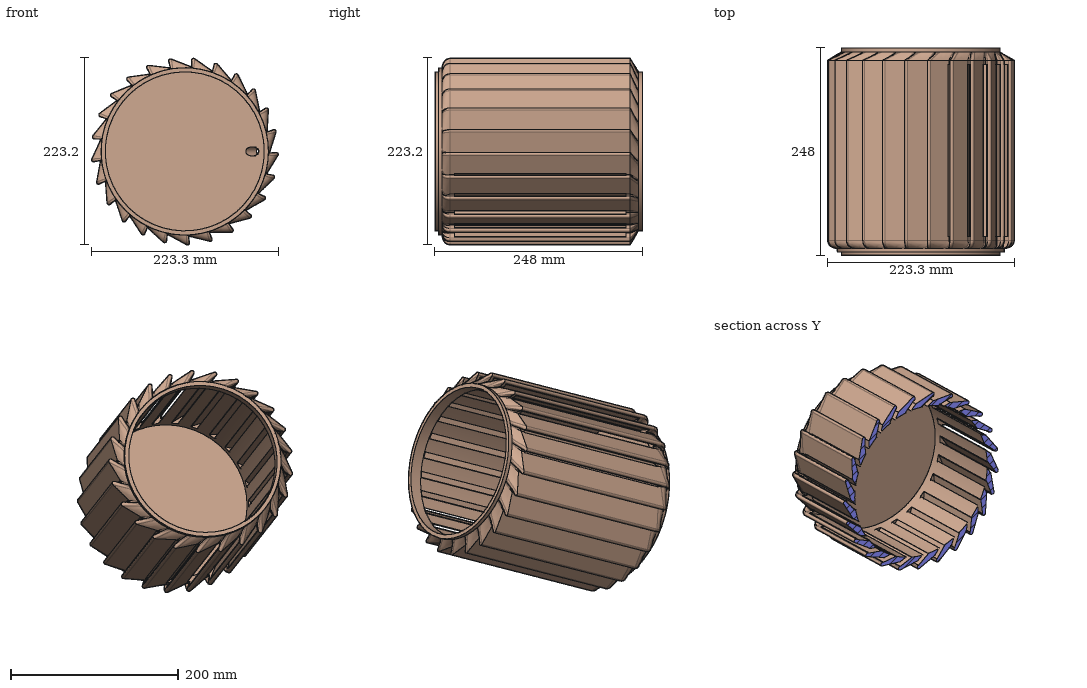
import cadquery as cq
import math

length = 248.0
lid_disc_length = 4.0
ring_end = 8.0
spigot_length = 5.0
taper_length = 10.0
teeth_start = ring_end + taper_length
spigot_start = length - spigot_length
teeth_end = spigot_start - taper_length

disc_diameter = 190.0
ring_diameter = 200.0
bore_diameter = 190.0
mouth_diameter = 180.0
lid_thickness = 13.0

tooth_count = 25
pitch = 360.0 / tooth_count
first_tooth_angle = -0.6
tip_centre_radius = 109.4
tip_round = 2.5
root_radius = 101.2
root_round_depth = 0.5
steep_foot_angle = -2.4
valley_angle = -0.8

front_end_angles = (4.0 - pitch, -2.0, -0.5, 1.0)
back_end_angles = (-6.0 - pitch, -10.0, -8.4, -6.8)

front_taper_steps = ((0.6, 0.2, 0.0),)
back_taper_steps = ((0.3, 0.3, 0.25), (0.6, 0.6, 0.5))

slot_width = 5.0
slot_end_gap = 5.0
slot_tilt = 48.0
slot_overcut = 0.5
slot_inner_reach = 15.0
slot_outer_reach = 3.7

hole_diameter = 11.0
hole_offset = 80.5
hole_slant = 45.0
hole_reach = 2 * lid_thickness


def polar(radius, angle):
    a = math.radians(angle)
    return (radius * math.cos(a), radius * math.sin(a))


def to_polar(point):
    return (math.hypot(*point), math.degrees(math.atan2(point[1], point[0])))


def section_plane(y):
    return cq.Workplane("XZ", origin=(0, y, 0))


def disc(diameter, y_start, y_end):
    return section_plane(y_start).circle(diameter / 2).extrude(y_start - y_end)


def middle(a, b):
    """Polar midpoint of the straight line between two polar points."""
    (ax, ay), (bx, by) = polar(*a), polar(*b)
    return to_polar(((ax + bx) / 2, (ay + by) / 2))


def tip_tangent(foot, tip, side):
    """Polar point where the line from a tooth foot touches the round tip."""
    (foot_x, foot_y), (tip_x, tip_y) = polar(*foot), polar(*tip)
    run = math.hypot(tip_x - foot_x, tip_y - foot_y)
    back_to_foot = math.atan2(foot_y - tip_y, foot_x - tip_x)
    a = back_to_foot + side * math.acos(tip_round / run)
    return to_polar((tip_x + tip_round * math.cos(a), tip_y + tip_round * math.sin(a)))


def tooth_nodes():
    """Polar corners and edge midpoints of one tooth, starting at its slope foot."""
    tip = (tip_centre_radius, -math.degrees(tip_round / tip_centre_radius))
    slope_foot = (root_radius, valley_angle - pitch)
    steep_foot = (root_radius, steep_foot_angle)
    slope_top = tip_tangent(slope_foot, tip, 1)
    steep_top = tip_tangent(steep_foot, tip, -1)
    crest = (tip_centre_radius + tip_round, tip[1])
    valley = (root_radius - root_round_depth, (steep_foot_angle + valley_angle) / 2)
    return [
        slope_foot, middle(slope_foot, slope_top),
        slope_top, crest,
        steep_top, middle(steep_top, steep_foot),
        steep_foot, valley,
    ]


def round_nodes(radius, angles):
    """The same nodes where the tooth has faded into a circle."""
    nodes = []
    for here, following in zip(angles, angles[1:] + (angles[0] + pitch,)):
        nodes.append((radius, here))
        nodes.append((radius, (here + following) / 2))
    return nodes


def blend(start, end, fade, turn):
    return [
        (r0 + fade * (r1 - r0), a0 + turn * (a1 - a0))
        for (r0, a0), (r1, a1) in zip(start, end)
    ]


def toothed_outline(y, nodes, straight_sides=False):
    """Closed outline of all teeth, with the slope and steep sides straight or curved."""
    outline = section_plane(y).moveTo(*polar(nodes[0][0], nodes[0][1] + first_tooth_angle))
    next_foot = (nodes[0][0], nodes[0][1] + pitch)
    for tooth in range(tooth_count):
        turn = first_tooth_angle + tooth * pitch
        points = [polar(r, a + turn) for r, a in nodes + [next_foot]]
        for edge in range(len(nodes) // 2):
            through, end = points[2 * edge + 1], points[2 * edge + 2]
            if straight_sides and edge % 2 == 0:
                outline = outline.lineTo(*end)
            else:
                outline = outline.threePointArc(through, end)
    return outline.close()


def taper(y_full, y_round, full_tooth, faded_tooth, steps):
    """Smooth transition from the full teeth to a plain circle."""
    wires = [toothed_outline(y_full, full_tooth, True).val()]
    for run, fade, turn in steps:
        y = y_full + run * (y_round - y_full)
        wires.append(toothed_outline(y, blend(full_tooth, faded_tooth, fade, turn)).val())
    wires.append(toothed_outline(y_round, faded_tooth).val())
    return cq.Workplane(obj=cq.Solid.makeLoft(wires))


def toothed_body():
    full_tooth = tooth_nodes()
    front_round = round_nodes(ring_diameter / 2, front_end_angles)
    back_round = round_nodes(disc_diameter / 2, back_end_angles)
    teeth = toothed_outline(teeth_start, full_tooth, True).extrude(teeth_start - teeth_end)
    teeth = teeth.union(taper(teeth_start, ring_end, full_tooth, front_round, front_taper_steps))
    return teeth.union(taper(teeth_end, spigot_start, full_tooth, back_round, back_taper_steps))


def root_slots():
    y_start = teeth_start + slot_end_gap
    slot_length = teeth_end - slot_end_gap - y_start
    blade = cq.Workplane("XY").box(
        slot_inner_reach + slot_outer_reach, slot_length, slot_width, centered=False
    )
    blade = blade.translate((-slot_inner_reach, y_start, slot_overcut - slot_width))
    blade = blade.rotate((0, 0, 0), (0, 1, 0), -slot_tilt).translate((root_radius, 0, 0))
    slots = cq.Workplane("XY")
    for tooth in range(tooth_count):
        turn = first_tooth_angle + valley_angle + tooth * pitch
        slots.add(blade.rotate((0, 0, 0), (0, 1, 0), -turn))
    return slots.combine()


def lid_hole():
    slant = math.radians(hole_slant)
    direction = cq.Vector(math.sin(slant), math.cos(slant), 0)
    start = cq.Vector(hole_offset, 0, 0) - direction * hole_reach
    drill = cq.Workplane(obj=cq.Solid.makeCylinder(hole_diameter / 2, 2 * hole_reach, start, direction))
    return drill.intersect(disc(ring_diameter, 0, lid_thickness))


body = toothed_body()
body = body.union(disc(disc_diameter, 0, lid_disc_length))
body = body.union(disc(ring_diameter, lid_disc_length, ring_end))
body = body.union(disc(disc_diameter, spigot_start, length))
body = body.cut(disc(bore_diameter, lid_thickness, teeth_end))
body = body.cut(disc(mouth_diameter, teeth_end, length))
result = body.cut(root_slots()).cut(lid_hole())